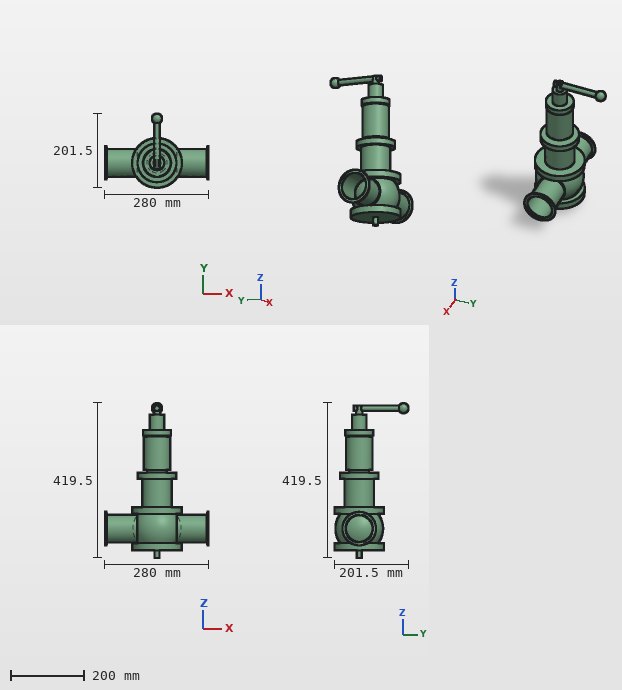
import cadquery as cq

HEIGHT = 419.5
LENGTH = 280.0
DEPTH = 201.5

BODY_FLANGE_DIAMETER = 135.0
PORT_HEIGHT = 80.0
BALL_DIAMETER = 130.0

PIPE_DIAMETER = 76.5
BORE_DIAMETER = 72.0
PIPE_INNER_END = 33.5
FERRULE_DIAMETER = 91.0
FERRULE_RIM = 3.0
FERRULE_LENGTH = 5.5

LOWER_FLANGE_BOTTOM = 21.5
LOWER_FLANGE_TOP = 41.0
UPPER_FLANGE_BOTTOM = 120.0
UPPER_FLANGE_TOP = 138.5
MIDDLE_FLANGE_BOTTOM = 214.5
MIDDLE_FLANGE_TOP = 231.3
ACTUATOR_BOTTOM = 239.0
ACTUATOR_TOP = 329.0
CAP_BOTTOM = 331.5
CAP_TOP = 347.0
STEM_TOP = 388.2

DRAIN_PIN_DIAMETER = 14.0
BONNET_DIAMETER = 80.0
MIDDLE_FLANGE_DIAMETER = 105.0
GROOVE_DIAMETER = 54.0
ACTUATOR_DIAMETER = 72.0
CAP_DIAMETER = 76.0
STEM_DIAMETER = 40.0

PIVOT_DIAMETER = 18.0
PIVOT_TOP = 412.5
ARM_DIAMETER = 16.0
ARM_OVERHANG = 15.0
KNOB_DIAMETER = 28.0
KNOB_HEIGHT = HEIGHT - KNOB_DIAMETER / 2
KNOB_REACH = DEPTH - BODY_FLANGE_DIAMETER / 2 - KNOB_DIAMETER / 2


def upright_cylinder(diameter, bottom, top):
    """Cylinder on the vertical axis between two levels."""
    return cq.Workplane("XY", origin=(0, 0, bottom)).circle(diameter / 2).extrude(top - bottom)


def make_port():
    """Hollow pipe and ferrule toward +X, with its inner end buried in the ball."""
    end = LENGTH / 2
    rim_back = end - FERRULE_RIM
    taper_back = end - FERRULE_LENGTH
    half_profile = [
        (PIPE_INNER_END, BORE_DIAMETER / 2),
        (end, BORE_DIAMETER / 2),
        (end, FERRULE_DIAMETER / 2),
        (rim_back, FERRULE_DIAMETER / 2),
        (taper_back, PIPE_DIAMETER / 2),
        (PIPE_INNER_END, PIPE_DIAMETER / 2),
    ]
    port = cq.Workplane("XZ").polyline(half_profile).close().revolve(360, (0, 0), (1, 0))
    return port.translate((0, 0, PORT_HEIGHT))


def make_ball():
    """Solid ball that closes the inner ends of both bores, cut flat at the flanges."""
    ball = cq.Workplane("YZ").sphere(BALL_DIAMETER / 2).translate((0, 0, PORT_HEIGHT))
    return ball.intersect(upright_cylinder(BODY_FLANGE_DIAMETER, LOWER_FLANGE_TOP, UPPER_FLANGE_BOTTOM))


def make_stack():
    """Ball, drain pin, flanges, bonnet, actuator and stem on the vertical axis."""
    lower_sections = [
        (DRAIN_PIN_DIAMETER, 0, LOWER_FLANGE_BOTTOM),
        (BODY_FLANGE_DIAMETER, LOWER_FLANGE_BOTTOM, LOWER_FLANGE_TOP),
    ]
    upper_sections = [
        (BODY_FLANGE_DIAMETER, UPPER_FLANGE_BOTTOM, UPPER_FLANGE_TOP),
        (BONNET_DIAMETER, UPPER_FLANGE_TOP, MIDDLE_FLANGE_BOTTOM),
        (MIDDLE_FLANGE_DIAMETER, MIDDLE_FLANGE_BOTTOM, MIDDLE_FLANGE_TOP),
        (GROOVE_DIAMETER, MIDDLE_FLANGE_TOP, ACTUATOR_BOTTOM),
        (ACTUATOR_DIAMETER, ACTUATOR_BOTTOM, ACTUATOR_TOP),
        (GROOVE_DIAMETER, ACTUATOR_TOP, CAP_BOTTOM),
        (CAP_DIAMETER, CAP_BOTTOM, CAP_TOP),
        (STEM_DIAMETER, CAP_TOP, STEM_TOP),
    ]
    stack = make_ball()
    for diameter, bottom, top in lower_sections + upper_sections:
        stack = stack.union(upright_cylinder(diameter, bottom, top))
    return stack


def make_handle():
    """Pivot post, horizontal arm toward +Y and round knob."""
    pivot = upright_cylinder(PIVOT_DIAMETER, STEM_TOP, PIVOT_TOP)
    arm = (
        cq.Workplane("XZ", origin=(0, KNOB_REACH, KNOB_HEIGHT))
        .circle(ARM_DIAMETER / 2)
        .extrude(KNOB_REACH + ARM_OVERHANG)
    )
    knob = cq.Workplane("XY").sphere(KNOB_DIAMETER / 2).translate((0, KNOB_REACH, KNOB_HEIGHT))
    return pivot.union(arm).union(knob)


port = make_port()
result = make_stack().union(port).union(port.mirror("YZ")).union(make_handle())